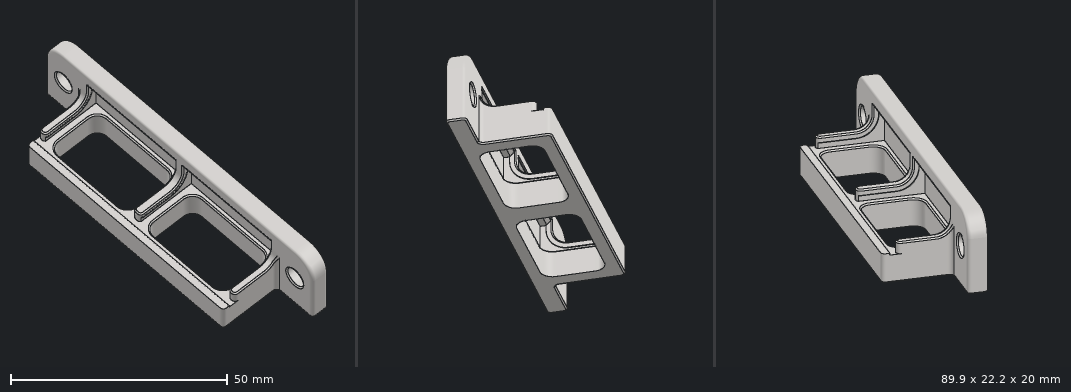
import cadquery as cq
import math


LENGTH = 89.9
DEPTH = 22.2
HEIGHT = 20.0
PLATE_THICKNESS = 5.0
CORNER_RADIUS = 6.0
EDGE_RADIUS = 1.0
EDGE_CHAMFER = 0.4

HOLE_DIAMETER = 5.3
HOLE_INSET = 6.0
HOLE_HEIGHT = HEIGHT / 2

TRAY_WIDTH = 66.0
FLOOR_HEIGHT = 7.0
LIP_HEIGHT = 7.5
LIP_WIDTH = 2.0
FRONT_CORNER_RADIUS = 1.1
FLARE_RADIUS = 1.3
FLARE_EMBED = 0.1

RIB_TOP = 10.0
RIB_END = 18.5
SIDE_RIB_WIDTH = 2.25
CENTER_RIB_WIDTH = 2.6
RIB_ROOT_RADIUS = 4.0
RIM_WIDTH = 1.5
UNDERCUT = 0.3

RECESS_BACK = 2.1
RECESS_TOP = 16.6
RECESS_TOP_CHAMFER = 1.35

WINDOW_LENGTH = 26.2
WINDOW_BACK = 3.3
WINDOW_FRONT = 18.8
WINDOW_RADIUS = 3.0

BAY_WIDTH = (TRAY_WIDTH - CENTER_RIB_WIDTH) / 2 - SIDE_RIB_WIDTH
BAY_CENTER = (CENTER_RIB_WIDTH + BAY_WIDTH) / 2
SIDES = (-1, 1)


def block(x_min, x_max, y_min, y_max, z_min, z_max):
    """Box between two opposite corners."""
    size = (x_max - x_min, y_max - y_min, z_max - z_min)
    return cq.Workplane("XY").box(*size, centered=False).translate((x_min, y_min, z_min))


def make_plate():
    """Upright plate with round upper corners and rounded front and back rims."""
    plate = block(-LENGTH / 2, LENGTH / 2, -PLATE_THICKNESS, 0, 0, HEIGHT)
    plate = plate.edges("|Y and >Z").fillet(CORNER_RADIUS)
    rims = plate.faces("<Y or >Y").edges("not <Z")
    plate = rims.fillet(EDGE_RADIUS)
    return plate.faces("<Z").edges().chamfer(EDGE_CHAMFER)


def make_tray_prism():
    """Full-height tray footprint, rounded in front and flared where it meets the plate."""
    half_width = TRAY_WIDTH / 2
    wall_front = FLARE_EMBED - PLATE_THICKNESS
    prism = block(-half_width, half_width, -DEPTH, wall_front, 0, HEIGHT)
    prism = prism.edges("|Z and <Y").fillet(FRONT_CORNER_RADIUS)
    wall_reach = half_width + 2 * FLARE_RADIUS
    wall = block(-wall_reach, wall_reach, wall_front, -RECESS_BACK, 0, HEIGHT)
    inner_corners = cq.selectors.BoxSelector(
        (-half_width - FLARE_RADIUS, wall_front - FLARE_RADIUS, 0),
        (half_width + FLARE_RADIUS, wall_front + FLARE_RADIUS, HEIGHT),
    )
    return prism.union(wall).edges("|Z").edges(inner_corners).fillet(FLARE_RADIUS)


def make_tray(prism):
    """Tray floor with a low lip along the front."""
    floor = block(-LENGTH / 2, LENGTH / 2, -DEPTH, -RECESS_BACK, 0, FLOOR_HEIGHT)
    lip = block(-LENGTH / 2, LENGTH / 2, -DEPTH, LIP_WIDTH - DEPTH, 0, LIP_HEIGHT)
    tray = prism.intersect(floor.union(lip))
    return tray.faces("<Z").edges("not >Y").chamfer(EDGE_CHAMFER)


def rib_shape(x_min, x_max, inset=0.0, wall_top=RECESS_TOP):
    """Rib side shape, its upper outline moved in by an inset, extruded along X.

    A concave arc sweeps the top of the rib up into the plate.
    """
    top = RIB_TOP - inset
    wall_front = inset - PLATE_THICKNESS
    arc_center_y = -PLATE_THICKNESS - RIB_ROOT_RADIUS
    arc_center_z = RIB_TOP + RIB_ROOT_RADIUS
    diagonal = (RIB_ROOT_RADIUS + inset) * math.sqrt(0.5)
    arc_middle = (arc_center_y + diagonal, arc_center_z - diagonal)
    return (
        cq.Workplane("YZ", origin=(x_min, 0, 0))
        .moveTo(-RECESS_BACK, FLOOR_HEIGHT)
        .lineTo(-RIB_END, FLOOR_HEIGHT)
        .lineTo(-RIB_END, top)
        .lineTo(arc_center_y, top)
        .threePointArc(arc_middle, (wall_front, arc_center_z))
        .lineTo(wall_front, wall_top)
        .lineTo(-RECESS_BACK, wall_top)
        .close()
        .extrude(x_max - x_min)
    )


def finish_rib(rib):
    """Round the two front corners of a rib and chamfer its whole upper edge."""
    rib = rib.edges("|Z and <Y").fillet(FRONT_CORNER_RADIUS)
    top_ridge = rib.faces("+Z").faces("<Z").edges("|Y").edges(">X")
    return rib.newObject(top_ridge.vals()).chamfer(EDGE_CHAMFER)


def make_side_rib(prism):
    """Rib along the left side of the tray, following the flare of its footprint."""
    outer_side = -TRAY_WIDTH / 2
    rib = rib_shape(outer_side - 2 * FLARE_RADIUS, outer_side + SIDE_RIB_WIDTH)
    return finish_rib(rib.intersect(prism))


def make_recess(x_center):
    """Cutter for a recess in the plate face, with a bevelled ceiling and chamfered sides."""
    half_width = BAY_WIDTH / 2
    ceiling = RECESS_TOP - RECESS_TOP_CHAMFER
    cutter = (
        cq.Workplane("YZ", origin=(x_center - half_width, 0, 0))
        .moveTo(-RECESS_BACK, FLOOR_HEIGHT)
        .lineTo(-PLATE_THICKNESS, FLOOR_HEIGHT)
        .lineTo(-PLATE_THICKNESS, RECESS_TOP)
        .lineTo(-PLATE_THICKNESS + RECESS_TOP_CHAMFER, ceiling)
        .lineTo(-RECESS_BACK, ceiling)
        .close()
        .extrude(BAY_WIDTH)
    )
    flare = (
        cq.Workplane("XY", origin=(x_center, 0, FLOOR_HEIGHT))
        .moveTo(-half_width, EDGE_CHAMFER - PLATE_THICKNESS)
        .lineTo(-half_width - EDGE_CHAMFER, -PLATE_THICKNESS)
        .lineTo(half_width + EDGE_CHAMFER, -PLATE_THICKNESS)
        .lineTo(half_width, EDGE_CHAMFER - PLATE_THICKNESS)
        .close()
        .extrude(RECESS_TOP - FLOOR_HEIGHT)
    )
    return cutter.union(flare)


def make_undercut(x_center):
    """Cutter that steps back both sides of a bay below the rim of its ribs."""
    half_width = BAY_WIDTH / 2 + UNDERCUT
    ceiling = RECESS_TOP - RECESS_TOP_CHAMFER
    return rib_shape(x_center - half_width, x_center + half_width, RIM_WIDTH, ceiling)


def make_window(x_center):
    """Cutter for a rounded window through the tray floor, chamfered at the top."""
    half_length = WINDOW_LENGTH / 2
    opening = block(-half_length, half_length, -WINDOW_FRONT, -WINDOW_BACK, 0, FLOOR_HEIGHT)
    opening = opening.edges("|Z").fillet(WINDOW_RADIUS)
    rim = (
        opening.faces(">Z").wires().toPending()
        .workplane().offset2D(EDGE_CHAMFER)
        .extrude(-EDGE_CHAMFER, combine=False, taper=45)
    )
    return opening.union(rim).translate((x_center, 0, 0))


def make_screw_hole(x_center):
    """Cutter for a screw hole through the plate, chamfered in front."""
    plane = cq.Workplane("XZ", origin=(x_center, -PLATE_THICKNESS, HOLE_HEIGHT))
    radius = HOLE_DIAMETER / 2
    bore = plane.circle(radius).extrude(-PLATE_THICKNESS)
    mouth = plane.circle(radius + EDGE_CHAMFER).extrude(-EDGE_CHAMFER, taper=45)
    return bore.union(mouth)


footprint = make_tray_prism()
side_rib = make_side_rib(footprint)
center_rib = finish_rib(rib_shape(-CENTER_RIB_WIDTH / 2, CENTER_RIB_WIDTH / 2))

body = make_plate().union(make_tray(footprint))
for side in SIDES:
    body = body.cut(make_recess(side * BAY_CENTER))
body = body.union(center_rib).union(side_rib).union(side_rib.mirror("YZ"))
for side in SIDES:
    body = body.cut(make_undercut(side * BAY_CENTER))
    body = body.cut(make_window(side * BAY_CENTER))

hole_x = LENGTH / 2 - HOLE_INSET
for side in SIDES:
    body = body.cut(make_screw_hole(side * hole_x))
result = body